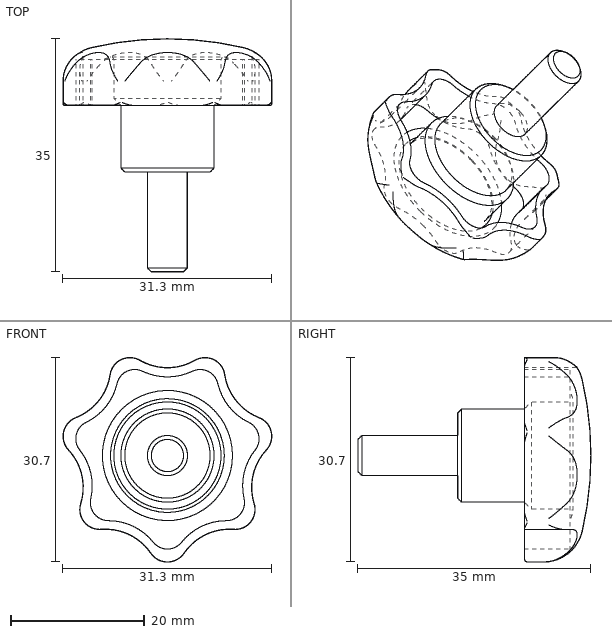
import cadquery as cq
import math

LOBES = 7
HEAD_RADIUS = 16.0
HEAD_HEIGHT = 10.0
DOME_RADIUS = 50.0
DOME_EDGE_FILLET = 6.0
RIM_FILLET = 0.5
LOBE_RADIUS = 3.0
VALLEY_RADIUS = 13.2

WALL = 1.4
POCKET_LOBE_RADIUS = 2.73
POCKET_LOBE_TIP = 14.05
POCKET_DEPTH = 6.85

GROOVE_RADIUS = 9.75
GROOVE_DEPTH = 0.42

HUB_RADIUS = 7.0
HUB_LENGTH = 10.0
BOSS_RADIUS = 8.05
BOSS_FILLET = 0.5

STUD_RADIUS = 3.0
STUD_LENGTH = 14.98
END_CHAMFER = 0.6


def polar(radius, angle):
    return (radius * math.cos(angle), radius * math.sin(angle))


def scalloped_outline(tip_radius, valley_radius, lobe_radius, height):
    """Prism with convex lobe arcs joined tangentially by concave valley arcs."""
    half_pitch = math.pi / LOBES
    lobe_center = tip_radius - lobe_radius
    along = lobe_center * math.cos(half_pitch)
    across = lobe_center * math.sin(half_pitch)
    gap = valley_radius - along
    scallop_radius = (lobe_radius**2 - gap**2 - across**2) / (2 * (gap - lobe_radius))
    share = scallop_radius / (scallop_radius + lobe_radius)
    valley_center = valley_radius + scallop_radius
    join_along = valley_center + share * (along - valley_center)
    join_across = share * across
    join_radius = math.hypot(join_along, join_across)
    join_angle = math.atan2(join_across, join_along)

    first_valley = -math.pi / 2 - half_pitch
    outline = cq.Workplane("XZ").moveTo(*polar(join_radius, first_valley + join_angle))
    for index in range(LOBES):
        lobe = first_valley + half_pitch * (2 * index + 1)
        valley = lobe + half_pitch
        outline = outline.threePointArc(
            polar(tip_radius, lobe), polar(join_radius, valley - join_angle)
        )
        outline = outline.threePointArc(
            polar(valley_radius, valley), polar(join_radius, valley + join_angle)
        )
    return outline.close().extrude(-height)


def revolve_about_y(profile):
    return profile.close().revolve(360, (0, 0, 0), (0, 1, 0))


def domed_blank():
    """Round head with a shallow dome, a soft shoulder and a rounded rim."""
    dome_center = HEAD_HEIGHT - DOME_RADIUS
    shoulder_radius = HEAD_RADIUS - DOME_EDGE_FILLET
    shoulder_height = dome_center + math.sqrt(
        (DOME_RADIUS - DOME_EDGE_FILLET)**2 - shoulder_radius**2
    )
    slope = math.asin(shoulder_radius / (DOME_RADIUS - DOME_EDGE_FILLET))
    dome_edge = (DOME_RADIUS * math.sin(slope), dome_center + DOME_RADIUS * math.cos(slope))
    dome_middle = (
        DOME_RADIUS * math.sin(slope / 2),
        dome_center + DOME_RADIUS * math.cos(slope / 2),
    )
    middle_angle = (math.pi / 2 - slope) / 2
    shoulder_middle = (
        shoulder_radius + DOME_EDGE_FILLET * math.cos(middle_angle),
        shoulder_height + DOME_EDGE_FILLET * math.sin(middle_angle),
    )
    rim_middle = (
        HEAD_RADIUS - RIM_FILLET * (1 - math.cos(math.pi / 4)),
        RIM_FILLET * (1 - math.sin(math.pi / 4)),
    )
    profile = (
        cq.Workplane("XY")
        .lineTo(HEAD_RADIUS - RIM_FILLET, 0)
        .threePointArc(rim_middle, (HEAD_RADIUS, RIM_FILLET))
        .lineTo(HEAD_RADIUS, shoulder_height)
        .threePointArc(shoulder_middle, dome_edge)
        .threePointArc(dome_middle, (0, HEAD_HEIGHT))
    )
    return revolve_about_y(profile)


def pocket():
    """Scalloped recess in the underside, with a tapered groove around the boss."""
    recess = scalloped_outline(
        POCKET_LOBE_TIP, VALLEY_RADIUS - WALL, POCKET_LOBE_RADIUS, POCKET_DEPTH
    )
    groove_bottom = POCKET_DEPTH + GROOVE_DEPTH
    groove = revolve_about_y(
        cq.Workplane("XY")
        .lineTo(GROOVE_RADIUS, 0)
        .lineTo(GROOVE_RADIUS, POCKET_DEPTH)
        .lineTo(BOSS_RADIUS + BOSS_FILLET, groove_bottom)
        .lineTo(0, groove_bottom)
    )
    return recess.union(groove)


def hub_and_stud():
    """Turned core: stud, hub, and the wider boss inside the pocket."""
    hub_end = -HUB_LENGTH
    stud_end = hub_end - STUD_LENGTH
    boss_shoulder = BOSS_RADIUS - HUB_RADIUS
    boss_top = POCKET_DEPTH + GROOVE_DEPTH
    fillet_middle = (
        BOSS_RADIUS + BOSS_FILLET * (1 - math.cos(math.pi / 4)),
        boss_top - BOSS_FILLET * (1 - math.sin(math.pi / 4)),
    )
    return revolve_about_y(
        cq.Workplane("XY")
        .moveTo(0, stud_end)
        .lineTo(STUD_RADIUS - END_CHAMFER, stud_end)
        .lineTo(STUD_RADIUS, stud_end + END_CHAMFER)
        .lineTo(STUD_RADIUS, hub_end)
        .lineTo(HUB_RADIUS - END_CHAMFER, hub_end)
        .lineTo(HUB_RADIUS, hub_end + END_CHAMFER)
        .lineTo(HUB_RADIUS, 0)
        .lineTo(BOSS_RADIUS, boss_shoulder)
        .lineTo(BOSS_RADIUS, boss_top - BOSS_FILLET)
        .threePointArc(fillet_middle, (BOSS_RADIUS + BOSS_FILLET, boss_top))
        .lineTo(0, boss_top)
    )


lobed_prism = scalloped_outline(HEAD_RADIUS, VALLEY_RADIUS, LOBE_RADIUS, HEAD_HEIGHT)
head = domed_blank().intersect(lobed_prism)
result = head.cut(pocket()).union(hub_and_stud())